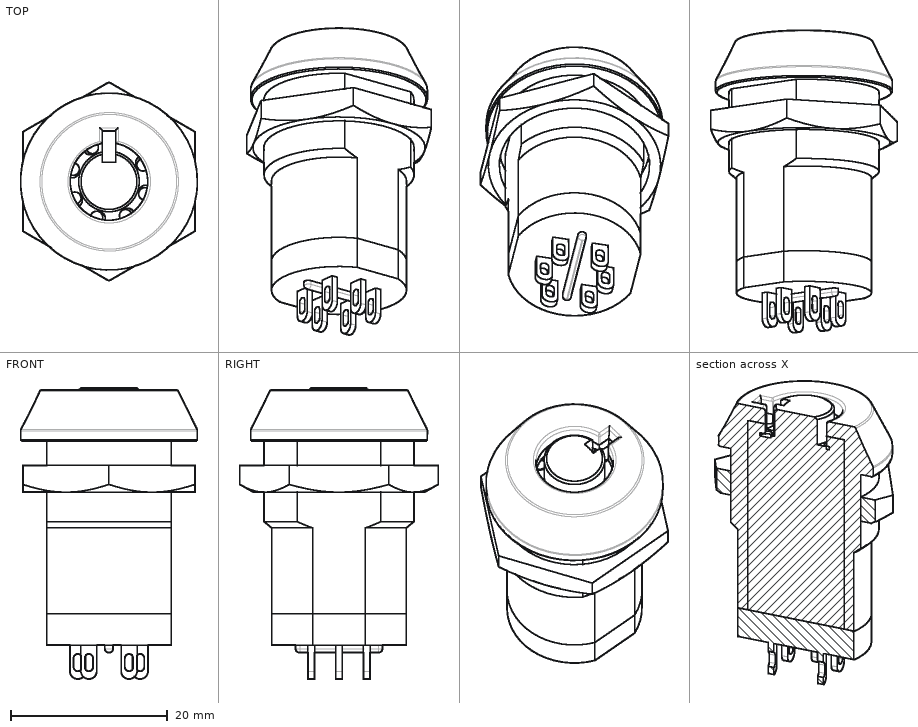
import cadquery as cq
import math

POST_TOP = 37.2
HEAD_TOP = 36.95
HEAD_CONE_BOTTOM = 31.85
HEAD_BOTTOM = 30.4
NUT_TOP = 27.3
NUT_BOTTOM = 23.9
NECK_TOP = 20.13
NECK_BOTTOM = 19.3
BASE_TOP = 8.35
BASE_BOTTOM = 4.35
RIB_BOTTOM = 3.4

HEAD_RADIUS = 11.3
HEAD_TOP_RADIUS = 8.78
HEAD_TOP_FILLET = 0.25
HEAD_EDGE_FILLET = 0.37
HEAD_BOTTOM_CHAMFER = 0.2
BARREL_RADIUS = 9.6
BODY_RADIUS = 8.63
FLAT_HALF_WIDTH = 7.95

NUT_ACROSS_CORNERS = 25.4
NUT_SIDES = 6
NUT_CHAMFER_ANGLE = 30.0

KEY_RING_RADIUS = 4.95
CORE_TOP = 34.8
KEY_RING_FLOOR = 33.4
RIM_FILLET = 0.35
KEYWAY_CORNER_FILLET = 0.15
CORE_RADIUS = 7.25
POST_RADIUS = 3.87
POST_CHAMFER = 0.3
KEYWAY_WIDTH = 1.75
KEYWAY_INNER_END = 2.45
KEYWAY_OUTER_END = 6.45
KEYWAY_WALL_LEAN = 0.15
PIN_SPACES = 8
MISSING_PIN_ANGLE = 71.0
PIN_CENTER_RADIUS = 4.85
PIN_HOLE_RADIUS = 0.78
PIN_HOLE_DEPTH = 0.37
PIN_RELIEF_TURN = 4.0
PIN_RELIEF_DEPTH = 0.2

TERMINAL_WIDTH = 2.05
TERMINAL_THICKNESS = 0.85
TERMINAL_HOLE_WIDTH = 1.05
TERMINAL_HOLE_TOP = 3.2
TERMINAL_ROW_PITCH = 3.55
MIDDLE_ROW_X = 3.98
OUTER_ROW_X = 2.55
RIB_WIDTH = 1.08
RIB_LENGTH = 11.12
RIB_FILLET = 0.5


def cylinder(radius, bottom, top):
    return cq.Workplane("XY").workplane(offset=bottom).circle(radius).extrude(top - bottom)


def flat_sided(body, bottom, top):
    """Trim a round body to two flats facing -X and +X."""
    slab_length = 2 * BARREL_RADIUS
    slab = (
        cq.Workplane("XY")
        .workplane(offset=bottom)
        .rect(2 * FLAT_HALF_WIDTH, slab_length)
        .extrude(top - bottom)
    )
    return body.intersect(slab)


def make_keyway():
    """Cutter for the key slot: its floor is a quarter circle that levels out at the outer end."""
    radius = KEYWAY_OUTER_END - KEYWAY_INNER_END
    diagonal = radius * math.sqrt(0.5)
    return (
        cq.Workplane("YZ")
        .workplane(offset=-KEYWAY_WIDTH / 2)
        .moveTo(KEYWAY_INNER_END, POST_TOP)
        .threePointArc(
            (KEYWAY_OUTER_END - diagonal, POST_TOP - diagonal),
            (KEYWAY_OUTER_END, POST_TOP - radius),
        )
        .lineTo(KEYWAY_OUTER_END + KEYWAY_WALL_LEAN, POST_TOP)
        .close()
        .extrude(KEYWAY_WIDTH)
    )


def make_head():
    head = (
        cq.Workplane("XZ")
        .moveTo(0, HEAD_BOTTOM)
        .lineTo(HEAD_RADIUS - HEAD_BOTTOM_CHAMFER, HEAD_BOTTOM)
        .lineTo(HEAD_RADIUS, HEAD_BOTTOM + HEAD_BOTTOM_CHAMFER)
        .lineTo(HEAD_RADIUS, HEAD_CONE_BOTTOM)
        .lineTo(HEAD_TOP_RADIUS, HEAD_TOP)
        .lineTo(0, HEAD_TOP)
        .close()
        .revolve(360, (0, 0, 0), (0, 1, 0))
    )
    head = head.faces(">Z").edges().fillet(HEAD_TOP_FILLET)
    cone_foot = cq.selectors.NearestToPointSelector((0, 0, HEAD_CONE_BOTTOM))
    return head.edges("%CIRCLE").edges(cone_foot).fillet(HEAD_EDGE_FILLET)


def make_barrel():
    barrel = (
        cq.Workplane("XZ")
        .moveTo(0, BASE_TOP)
        .lineTo(BODY_RADIUS, BASE_TOP)
        .lineTo(BODY_RADIUS, NECK_BOTTOM)
        .lineTo(BARREL_RADIUS, NECK_TOP)
        .lineTo(BARREL_RADIUS, HEAD_BOTTOM)
        .lineTo(0, HEAD_BOTTOM)
        .close()
        .revolve(360, (0, 0, 0), (0, 1, 0))
    )
    return flat_sided(barrel, BASE_TOP, HEAD_BOTTOM)


def keyway_corner(side):
    """Selector for the upright edge where the keyway opens into the round bore."""
    x = side * KEYWAY_WIDTH / 2
    y = math.sqrt(KEY_RING_RADIUS**2 - x**2)
    return cq.selectors.NearestToPointSelector((x, y, (CORE_TOP + HEAD_TOP) / 2))


def make_housing():
    """Conical head and flat-sided barrel, hollowed for the lock core and open at the keyway."""
    housing = make_head().union(make_barrel())
    housing = housing.cut(cylinder(KEY_RING_RADIUS, CORE_TOP, HEAD_TOP))
    housing = housing.cut(cylinder(CORE_RADIUS, BASE_TOP, CORE_TOP))
    housing = housing.cut(make_keyway())
    housing = housing.edges(keyway_corner(-1)).fillet(KEYWAY_CORNER_FILLET)
    housing = housing.edges(keyway_corner(1)).fillet(KEYWAY_CORNER_FILLET)
    keyhole_rim = housing.faces(">Z").wires(cq.selectors.LengthNthSelector(0)).edges()
    return keyhole_rim.fillet(RIM_FILLET)


def make_nut():
    """Hexagon nut with corners on the Y axis, a round bore and a cone-chamfered underside."""
    half_side_angle = 180 / NUT_SIDES
    nut = (
        cq.Workplane("XY")
        .workplane(offset=NUT_BOTTOM)
        .polygon(NUT_SIDES, NUT_ACROSS_CORNERS)
        .extrude(NUT_TOP - NUT_BOTTOM)
        .rotate((0, 0, 0), (0, 0, 1), half_side_angle)
    )
    corner_radius = NUT_ACROSS_CORNERS / 2
    flat_radius = corner_radius * math.cos(math.radians(half_side_angle))
    rise = (corner_radius - flat_radius) * math.tan(math.radians(NUT_CHAMFER_ANGLE))
    envelope = (
        cq.Workplane("XZ")
        .moveTo(0, NUT_BOTTOM)
        .lineTo(flat_radius, NUT_BOTTOM)
        .lineTo(corner_radius, NUT_BOTTOM + rise)
        .lineTo(corner_radius, NUT_TOP)
        .lineTo(0, NUT_TOP)
        .close()
        .revolve(360, (0, 0, 0), (0, 1, 0))
    )
    opening = cylinder(BARREL_RADIUS, NUT_BOTTOM, NUT_TOP)
    return nut.intersect(envelope).cut(opening)


def pin_hole(angle, depth):
    x = PIN_CENTER_RADIUS * math.cos(math.radians(angle))
    y = PIN_CENTER_RADIUS * math.sin(math.radians(angle))
    hole = cylinder(PIN_HOLE_RADIUS, KEY_RING_FLOOR - depth, KEY_RING_FLOOR)
    return hole.translate((x, y, 0))


def make_key_recess():
    """Ring-shaped recess around the post, interrupted by solid material under the keyway."""
    depth = CORE_TOP - KEY_RING_FLOOR
    ring = cylinder(KEY_RING_RADIUS, KEY_RING_FLOOR, CORE_TOP)
    ring = ring.cut(cylinder(POST_RADIUS, KEY_RING_FLOOR, CORE_TOP))
    bridge = (
        cq.Workplane("XY")
        .box(KEYWAY_WIDTH, KEYWAY_OUTER_END, depth, centered=(True, False, False))
        .translate((0, 0, KEY_RING_FLOOR))
    )
    return ring.cut(bridge)


def make_core():
    """Lock core: a round block whose centre post rises through the housing's bore."""
    post = cylinder(POST_RADIUS, BASE_TOP, POST_TOP)
    post = post.faces(">Z").edges().chamfer(POST_CHAMFER)
    core = cylinder(CORE_RADIUS, BASE_TOP, CORE_TOP).union(post)
    core = core.cut(make_key_recess())
    for space in range(1, PIN_SPACES):
        angle = MISSING_PIN_ANGLE + space * 360 / PIN_SPACES
        core = core.cut(pin_hole(angle, PIN_HOLE_DEPTH))
        core = core.cut(pin_hole(angle + PIN_RELIEF_TURN, PIN_RELIEF_DEPTH))
    return core.cut(make_keyway())


def make_terminal(x, y):
    """Flat lug with a rounded tip at Z = 0 and an oblong wire hole."""
    tip_radius = TERMINAL_WIDTH / 2
    hole_bottom = tip_radius
    hole_height = TERMINAL_HOLE_TOP - hole_bottom
    lug = (
        cq.Workplane("XZ")
        .moveTo(-tip_radius, BASE_BOTTOM)
        .lineTo(-tip_radius, tip_radius)
        .threePointArc((0, 0), (tip_radius, tip_radius))
        .lineTo(tip_radius, BASE_BOTTOM)
        .close()
        .extrude(TERMINAL_THICKNESS / 2, both=True)
    )
    hole = (
        cq.Workplane("XZ")
        .center(0, hole_bottom + hole_height / 2)
        .slot2D(hole_height, TERMINAL_HOLE_WIDTH, 90)
        .extrude(TERMINAL_THICKNESS, both=True)
    )
    return lug.cut(hole).translate((x, y, 0))


def make_rib():
    """Round-ended bar along Y under the base."""
    rib = (
        cq.Workplane("XY")
        .workplane(offset=RIB_BOTTOM)
        .slot2D(RIB_LENGTH, RIB_WIDTH, 90)
        .extrude(BASE_BOTTOM - RIB_BOTTOM)
    )
    return rib.faces("<Z").edges().fillet(RIB_FILLET)


def make_base():
    """Flat-sided end block carrying the rib and the six terminals."""
    base = flat_sided(cylinder(BODY_RADIUS, BASE_BOTTOM, BASE_TOP), BASE_BOTTOM, BASE_TOP)
    base = base.union(make_rib())
    for row in (-1, 0, 1):
        row_x = MIDDLE_ROW_X if row == 0 else OUTER_ROW_X
        for side in (-1, 1):
            base = base.union(make_terminal(side * row_x, row * TERMINAL_ROW_PITCH))
    return base


housing = make_housing()
nut = make_nut()
core = make_core()
base = make_base()

result = cq.Compound.makeCompound(
    [housing.val(), nut.val(), core.val(), base.val()]
)